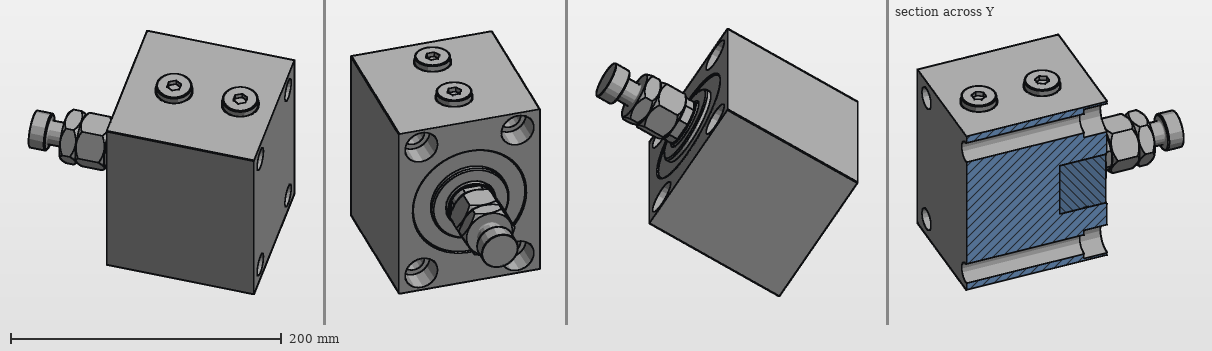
import cadquery as cq
import math


total_length = 185.0
block_length = 113.2
block_width = 110.0
block_height = 140.0
block_edge_chamfer = 0.5
block_front = total_length - block_length

mount_spacing_y = 75.0
mount_spacing_z = 110.0
mount_diameter = 17.0
mount_head_diameter = 25.2
mount_head_depth = 18.5

gland_radius = 43.5
gland_depth = 37.0
gland_bore_chamfer = 1.0
collar_radius = 30.0
collar_chamfer = 1.1
collar_height = 3.1
wiper_radius = 19.5
wiper_depth = 3.7
gland_front = block_front + gland_bore_chamfer
gland_back = gland_front + gland_depth
collar_front = block_front - collar_height

rod_radius = 18.0
rod_shoulder_chamfer = 0.7
rod_front = 59.0
nose_radius = 17.4
nose_length = 7.5
nose_end_chamfer = 0.5
flats_width = 31.8

head_radius = 14.0
head_length = 12.5
head_chamfer = 1.0
head_tip_chamfer = 0.4
neck_radius = 9.0
neck_fillet = 1.1
hex_front = 24.8
hex_split = 37.0
hex_width = 36.0
hex_face_radius = 17.8
hex_corner_radius = hex_width / math.sqrt(3)

plug_positions = (108.0, 159.0)
plug_radius = 13.1
plug_protrusion = 4.8
plug_chamfer = 0.7
plug_socket_width = 9.5
plug_socket_depth = 3.7
plug_seat_radius = 13.9
plug_seat_depth = 1.0
block_top = block_height / 2
plug_bottom = block_top - plug_seat_depth


def disc(start, end, radius):
    """A cylinder on the rod axis between two X positions."""
    return cq.Workplane("YZ", origin=(start, 0, 0)).circle(radius).extrude(end - start)


def make_block():
    block = (
        cq.Workplane("XY")
        .box(block_length, block_width, block_height)
        .translate((block_front + block_length / 2, 0, 0))
        .edges("|X")
        .chamfer(block_edge_chamfer)
    )
    block = (
        block.faces("<X")
        .workplane(centerOption="CenterOfBoundBox")
        .rect(mount_spacing_y, mount_spacing_z, forConstruction=True)
        .vertices()
        .cboreHole(mount_diameter, mount_head_diameter, mount_head_depth)
    )
    bore = disc(block_front, gland_back, gland_radius)
    bore_entry = cq.Solid.makeCone(
        gland_radius + gland_bore_chamfer,
        gland_radius,
        gland_bore_chamfer,
        pnt=cq.Vector(block_front, 0, 0),
        dir=cq.Vector(1, 0, 0),
    )
    plug_seats = (
        cq.Workplane("XY", origin=(0, 0, plug_bottom))
        .pushPoints([(x, 0) for x in plug_positions])
        .circle(plug_seat_radius)
        .extrude(plug_seat_depth)
    )
    return block.cut(bore).cut(bore_entry).cut(plug_seats)


def make_gland():
    collar = disc(collar_front, gland_front, collar_radius).faces("<X").edges().chamfer(collar_chamfer)
    gland = disc(gland_front, gland_back, gland_radius).union(collar)
    wiper_recess = disc(collar_front, collar_front + wiper_depth, wiper_radius)
    rod_bore = disc(collar_front, gland_back, rod_radius)
    return gland.cut(wiper_recess).cut(rod_bore)


def make_rod():
    shoulder = rod_front + nose_length
    body = disc(shoulder, gland_back, rod_radius).faces("<X").edges().chamfer(rod_shoulder_chamfer)
    nose = disc(rod_front, shoulder, nose_radius).faces("<X").edges().chamfer(nose_end_chamfer)
    flats = cq.Workplane("YZ", origin=(rod_front, 0, 0)).rect(flats_width, flats_width).extrude(nose_length)
    return body.union(nose.intersect(flats))


def chamfered_hexagon(start, end):
    """A hexagon with corners on Y, its corners turned off at 45 degrees at both ends."""
    prism = (
        cq.Workplane("YZ", origin=(start, 0, 0))
        .polygon(6, 2 * hex_corner_radius)
        .extrude(end - start)
    )
    blank_chamfer = hex_corner_radius - hex_face_radius
    blank = disc(start, end, hex_corner_radius).faces("<X or >X").edges().chamfer(blank_chamfer)
    return prism.intersect(blank)


def make_coupling():
    profile = (
        cq.Workplane("XY")
        .lineTo(0, head_radius - head_tip_chamfer)
        .lineTo(head_tip_chamfer, head_radius)
        .lineTo(head_length - head_chamfer, head_radius)
        .lineTo(head_length, head_radius - head_chamfer)
        .lineTo(head_length, neck_radius + neck_fillet)
        .radiusArc((head_length + neck_fillet, neck_radius), -neck_fillet)
        .lineTo(hex_front - neck_fillet, neck_radius)
        .radiusArc((hex_front, neck_radius + neck_fillet), -neck_fillet)
        .lineTo(hex_front, 0)
        .close()
    )
    stud = profile.revolve(360, (0, 0, 0), (1, 0, 0))
    return (
        stud.union(chamfered_hexagon(hex_front, hex_split))
        .union(chamfered_hexagon(hex_split, rod_front))
    )


def make_plug(x):
    plug = (
        cq.Workplane("XY", origin=(x, 0, plug_bottom))
        .circle(plug_radius)
        .extrude(plug_seat_depth + plug_protrusion)
        .faces(">Z")
        .edges()
        .chamfer(plug_chamfer)
    )
    socket = (
        cq.Workplane("XY", origin=(x, 0, block_top + plug_protrusion))
        .transformed(rotate=(0, 0, 90))
        .polygon(6, 2 * plug_socket_width / math.sqrt(3))
        .extrude(-plug_socket_depth)
    )
    return plug.cut(socket)


block = make_block()
gland = make_gland()
rod = make_rod()
coupling = make_coupling()
plugs = [make_plug(x).val() for x in plug_positions]

result = cq.Compound.makeCompound([block.val(), gland.val(), rod.val(), coupling.val(), *plugs])